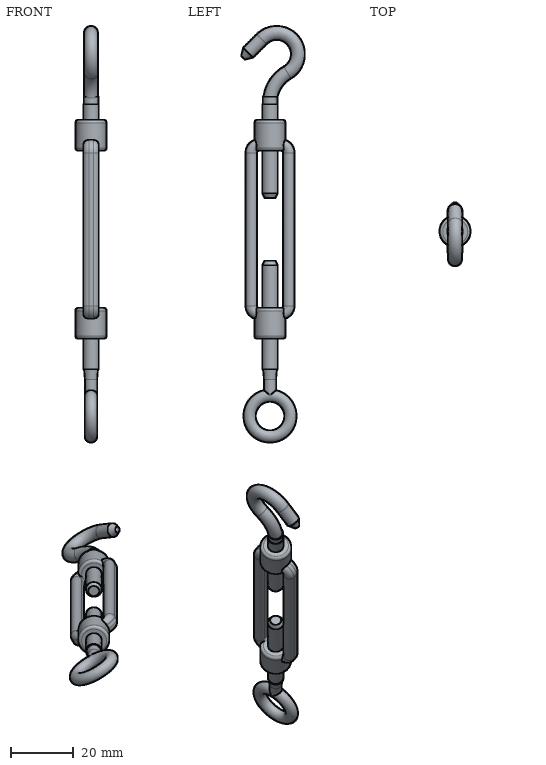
import cadquery as cq
import math


frame_length = 70.0
sleeve_diameter = 10.0
sleeve_length = 10.0
sleeve_edge_radius = 1.0
rail_width = 5.0
rail_thickness = 3.7
rail_offset = 6.0
rail_bend_inner_radius = 0.5
rail_bend_gap = 0.5

shank_diameter = 5.0
tip_clearance = 10.0
tip_length = 1.5
tip_inset = 0.8

hook_wire_diameter = 4.5
hook_shank_top = 39.9
hook_neck_length = 2.4
hook_neck_diameter = 4.8
hook_center_height = 55.9
hook_radius = 6.8
hook_neck_bend_radius = 11.0
hook_lower_angle = 60
hook_upper_angle = 135
hook_straight_length = 6.1
hook_tip_length = 2.3
hook_tip_radius = 0.9

eye_wire_diameter = 4.0
eye_shank_bottom = -44.7
eye_neck_length = 3.2
eye_neck_diameter = 4.5
eye_center_height = -59.6
eye_radius = 6.5

frame_half = frame_length / 2
sleeve_inner_height = frame_half - sleeve_length
bend_height = sleeve_inner_height - rail_bend_gap
bend_axis_offset = rail_offset - rail_thickness / 2 - rail_bend_inner_radius


def make_sleeve():
    """Upper sleeve with both outer rims rounded."""
    sleeve = (
        cq.Workplane("XY", origin=(0, 0, sleeve_inner_height))
        .circle(sleeve_diameter / 2)
        .extrude(sleeve_length)
    )
    return sleeve.edges("%CIRCLE").fillet(sleeve_edge_radius)


def make_rail():
    """Straight rail on the +Y side with a quarter bend into the sleeve at each end."""
    rail = (
        cq.Workplane("XY", origin=(0, rail_offset, -bend_height))
        .slot2D(rail_width, rail_thickness)
        .extrude(2 * bend_height)
    )
    bend = (
        cq.Workplane("XY", origin=(0, rail_offset, bend_height))
        .slot2D(rail_width, rail_thickness)
        .revolve(
            90,
            (0, bend_axis_offset - rail_offset, 0),
            (1, bend_axis_offset - rail_offset, 0),
        )
    )
    return rail.union(bend).union(bend.mirror("XY"))


def make_frame():
    sleeve = make_sleeve()
    rail = make_rail()
    bore = cq.Workplane("XY", origin=(0, 0, -frame_half)).circle(shank_diameter / 2).extrude(frame_length)
    frame = sleeve.union(sleeve.mirror("XY")).union(rail).union(rail.mirror("XZ"))
    return frame.cut(bore)


def make_shank(tip_height, shoulder_height, neck_end_height, neck_start_radius, neck_end_radius):
    """Round shank with a tapered tip at one end and a thinner neck beyond its shoulder."""
    shank_radius = shank_diameter / 2
    toward_shoulder = math.copysign(1, shoulder_height - tip_height)
    return (
        cq.Workplane("XZ")
        .moveTo(0, tip_height)
        .lineTo(shank_radius - tip_inset, tip_height)
        .lineTo(shank_radius, tip_height + toward_shoulder * tip_length)
        .lineTo(shank_radius, shoulder_height)
        .lineTo(neck_start_radius, shoulder_height)
        .lineTo(neck_end_radius, neck_end_height)
        .lineTo(0, neck_end_height)
        .close()
        .revolve(360, (0, 0, 0), (0, 1, 0))
    )


def make_hook():
    lower = math.radians(hook_lower_angle)
    upper = math.radians(hook_upper_angle)
    wire_radius = hook_wire_diameter / 2

    center_distance = hook_radius + hook_neck_bend_radius
    center_y = center_distance * math.cos(lower) - hook_neck_bend_radius
    neck_bend_height = hook_center_height - center_distance * math.sin(lower)

    def on_hook(angle):
        return (
            center_y - hook_radius * math.cos(angle),
            hook_center_height + hook_radius * math.sin(angle),
        )

    def on_neck(angle):
        return (
            -hook_neck_bend_radius * (1 - math.cos(angle)),
            neck_bend_height + hook_neck_bend_radius * math.sin(angle),
        )

    bend_end = on_hook(upper)
    straight_direction = (math.sin(upper), math.cos(upper))
    straight_end = (
        bend_end[0] + hook_straight_length * straight_direction[0],
        bend_end[1] + hook_straight_length * straight_direction[1],
    )
    path = (
        cq.Workplane("YZ")
        .moveTo(0, neck_bend_height)
        .threePointArc(on_neck(lower / 2), on_neck(lower))
        .threePointArc(on_hook((upper - lower) / 2), bend_end)
        .lineTo(*straight_end)
    )
    wire = cq.Workplane("XY", origin=(0, 0, neck_bend_height)).circle(wire_radius).sweep(path)
    tip = cq.Workplane(
        cq.Solid.makeCone(
            wire_radius,
            hook_tip_radius,
            hook_tip_length,
            cq.Vector(0, *straight_end),
            cq.Vector(0, *straight_direction),
        )
    )
    shank = make_shank(
        tip_clearance,
        hook_shank_top,
        hook_shank_top + hook_neck_length,
        hook_neck_diameter / 2,
        hook_neck_diameter / 2,
    )
    return shank.union(wire).union(tip)


def make_eye():
    wire_radius = eye_wire_diameter / 2
    neck_end_height = eye_shank_bottom - eye_neck_length
    ring_center = cq.Vector(0, 0, eye_center_height)
    ring = cq.Workplane(cq.Solid.makeTorus(eye_radius, wire_radius, ring_center, cq.Vector(1, 0, 0)))
    stem = (
        cq.Workplane("XY", origin=(0, 0, eye_center_height + eye_radius))
        .circle(wire_radius)
        .extrude(neck_end_height - eye_center_height - eye_radius)
    )
    shank = make_shank(
        -tip_clearance,
        eye_shank_bottom,
        neck_end_height,
        eye_neck_diameter / 2,
        wire_radius,
    )
    return shank.union(stem).union(ring)


frame = make_frame()
hook = make_hook()
eye = make_eye()

result = cq.Compound.makeCompound([frame.val(), hook.val(), eye.val()])